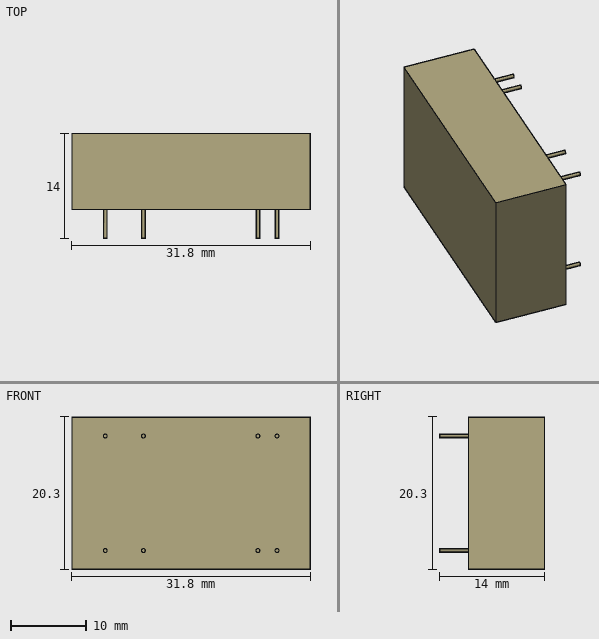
import cadquery as cq

body_length = 31.8
body_height = 20.3
total_depth = 14.0
pin_length = 3.82
body_depth = total_depth - pin_length

pin_pitch = 2.55
pin_diameter = 0.5
pin_columns = (-4.5, -2.5, 3.5, 4.5)
row_spacing = 6 * pin_pitch
pin_positions = [
    (column * pin_pitch, side * row_spacing / 2)
    for column in pin_columns
    for side in (-1, 1)
]

body = cq.Workplane("XY").box(
    body_length, body_depth, body_height, centered=(True, False, True)
)

pins = (
    cq.Workplane("XZ")
    .pushPoints(pin_positions)
    .circle(pin_diameter / 2)
    .extrude(pin_length)
)

result = body.union(pins)